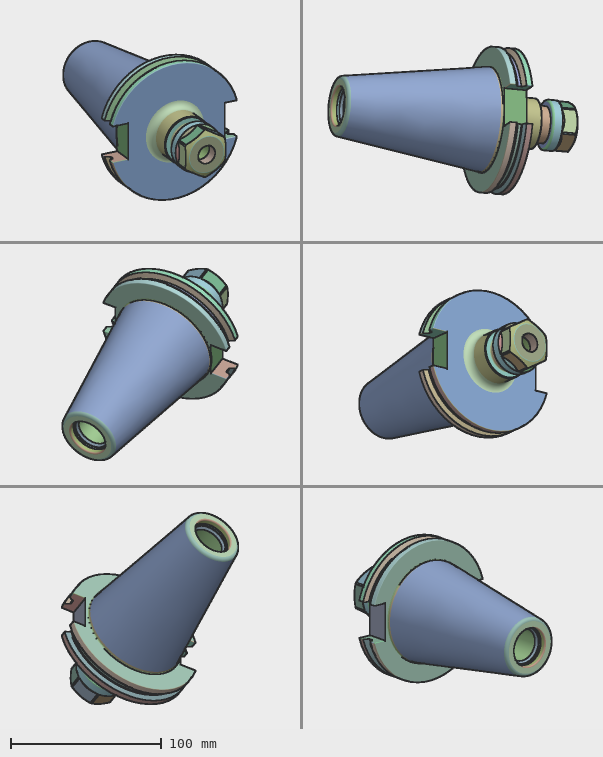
import cadquery as cq
import math

flange_start = 104.7
flange_width = 16.0
flange_end = flange_start + flange_width
neck_end = 138.4
stub_end = 156.9
nut_start = 146.0
hex_start = 152.9
overall_length = 165.1

taper_ratio = 7 / 24
collar_diameter = 70.2
taper_end = 102.7
small_end_diameter = collar_diameter - taper_ratio * taper_end
small_end_round = 2.5

flange_diameter = 97.5
flange_edge_round = 0.41
flange_root_round = 0.7
groove_center = 112.8
groove_depth = 3.5
groove_floor_width = 3.1
groove_flank_angle = 30
groove_floor_round = 0.7

slot_width = 25.8
slot_floor_front = 35.2
slot_floor_back = 37.6

neck_diameter = 34.0
neck_root_round = 5.0
neck_rim_chamfer = 0.5
stub_diameter = 25.0
stub_root_round = 0.7

mouth_diameter = 26.3
mouth_round = 1.0
mouth_depth = 4.1
relief_diameter = 26.0
relief_depth = 5.8
seat_diameter = 25.0
bore_diameter = 22.3
bore_entry_depth = 8.0
bore_depth = 66.0
drill_point_angle = 118
through_diameter = 12.7

nut_diameter = 34.0
nut_rim_round = 1.5
hex_across_flats = 30.0
hex_shoulder_drop = 2.6
nut_face_diameter = 26.0
nut_chamfer_angle = 30
nut_face_round = 1.0

tolerance = 0.002


def turned(profile):
    """Revolve (x, radius) points, closed along the X axis, about that axis."""
    start_x = profile[0][0]
    end_x = profile[-1][0]
    points = [(start_x, 0), *profile, (end_x, 0)]
    return cq.Workplane("XY").polyline(points).close().revolve(360, (0, 0, 0), (1, 0, 0))


def rim(body, x, diameter):
    """The circular edge of a turned body at one axial position and diameter."""
    def matches(edge):
        if edge.geomType() != "CIRCLE":
            return False
        return abs(edge.Center().x - x) < tolerance and abs(2 * edge.radius() - diameter) < tolerance

    return body.edges().filter(matches)


def holder_blank():
    blank = turned([
        (0, small_end_diameter / 2),
        (taper_end, collar_diameter / 2),
        (flange_start, collar_diameter / 2),
        (flange_start, flange_diameter / 2),
        (flange_end, flange_diameter / 2),
        (flange_end, neck_diameter / 2),
        (neck_end, neck_diameter / 2),
        (neck_end, stub_diameter / 2),
        (stub_end, stub_diameter / 2),
    ])
    blank = rim(blank, 0, small_end_diameter).fillet(small_end_round)
    blank = rim(blank, flange_start, collar_diameter).fillet(flange_root_round)
    blank = rim(blank, flange_end, neck_diameter).fillet(neck_root_round)
    blank = rim(blank, neck_end, neck_diameter).chamfer(neck_rim_chamfer)
    return rim(blank, neck_end, stub_diameter).fillet(stub_root_round)


def cut_groove(body):
    floor_radius = flange_diameter / 2 - groove_depth
    half_floor = groove_floor_width / 2
    half_mouth = half_floor + groove_depth * math.tan(math.radians(groove_flank_angle))
    ring = (
        cq.Workplane("XY")
        .polyline([
            (groove_center - half_floor, floor_radius),
            (groove_center + half_floor, floor_radius),
            (groove_center + half_mouth, flange_diameter / 2),
            (groove_center - half_mouth, flange_diameter / 2),
        ])
        .close()
        .revolve(360, (0, 0, 0), (1, 0, 0))
    )
    for side in (-1, 1):
        ring = rim(ring, groove_center + side * half_floor, 2 * floor_radius).fillet(groove_floor_round)
    return body.cut(ring)


def cut_drive_slots(body):
    for side, floor in ((-1, slot_floor_front), (1, slot_floor_back)):
        depth = flange_diameter / 2 - floor
        slot = cq.Workplane("XY").box(flange_width, depth, slot_width).translate(
            (flange_start + flange_width / 2, side * (floor + depth / 2), 0)
        )
        body = body.cut(slot)
    return body


def round_flange_edges(body):
    """Round the flange rims together with the outer edges of the drive slot walls."""
    outer_radius = flange_diameter / 2

    def on_end_face(edge):
        x = edge.Center().x
        return min(abs(x - flange_start), abs(x - flange_end)) < tolerance

    def on_rim(edge):
        if edge.geomType() != "CIRCLE":
            return False
        return on_end_face(edge) and abs(edge.radius() - outer_radius) < tolerance

    def on_slot_lip(edge):
        middle = edge.Center()
        on_wall = abs(abs(middle.z) - slot_width / 2) < tolerance
        on_outside = abs(math.hypot(middle.y, middle.z) - outer_radius) < tolerance
        return edge.geomType() == "LINE" and on_wall and (on_end_face(edge) or on_outside)

    outer_edges = body.edges().filter(lambda edge: on_rim(edge) or on_slot_lip(edge))
    return outer_edges.fillet(flange_edge_round)


def cut_bore(body):
    half_point = math.radians(drill_point_angle / 2)
    point_length = (bore_diameter - through_diameter) / 2 / math.tan(half_point)
    bore = turned([
        (0, mouth_diameter / 2),
        (mouth_depth, mouth_diameter / 2),
        (mouth_depth, relief_diameter / 2),
        (relief_depth, relief_diameter / 2),
        (relief_depth, seat_diameter / 2),
        (bore_entry_depth, bore_diameter / 2),
        (bore_depth, bore_diameter / 2),
        (bore_depth + point_length, through_diameter / 2),
        (stub_end, through_diameter / 2),
    ])
    body = body.cut(bore)
    return rim(body, 0, mouth_diameter).fillet(mouth_round)


def make_holder():
    body = cut_groove(holder_blank())
    body = cut_drive_slots(body)
    body = round_flange_edges(body)
    return cut_bore(body).solids()


def nut_collar():
    radius = nut_diameter / 2
    collar = turned([
        (nut_start, radius),
        (hex_start, radius),
        (hex_start + hex_shoulder_drop, radius - hex_shoulder_drop),
    ])
    return rim(collar, nut_start, nut_diameter).fillet(nut_rim_round)


def nut_hexagon():
    chamfer_length = (nut_diameter - nut_face_diameter) / 2 * math.tan(math.radians(nut_chamfer_angle))
    envelope = turned([
        (hex_start, nut_diameter / 2),
        (overall_length - chamfer_length, nut_diameter / 2),
        (overall_length, nut_face_diameter / 2),
    ])
    envelope = rim(envelope, overall_length, nut_face_diameter).fillet(nut_face_round)
    prism = (
        cq.Workplane("YZ", origin=(hex_start, 0, 0))
        .polygon(6, hex_across_flats, circumscribed=True)
        .extrude(overall_length - hex_start)
    )
    return envelope.intersect(prism)


def make_nut():
    inside = turned([
        (nut_start, stub_diameter / 2),
        (stub_end, stub_diameter / 2),
        (stub_end, through_diameter / 2),
        (overall_length, through_diameter / 2),
    ])
    return nut_collar().union(nut_hexagon()).cut(inside).solids()


holder = make_holder()
nut = make_nut()

result = cq.Compound.makeCompound([holder.val(), nut.val()])